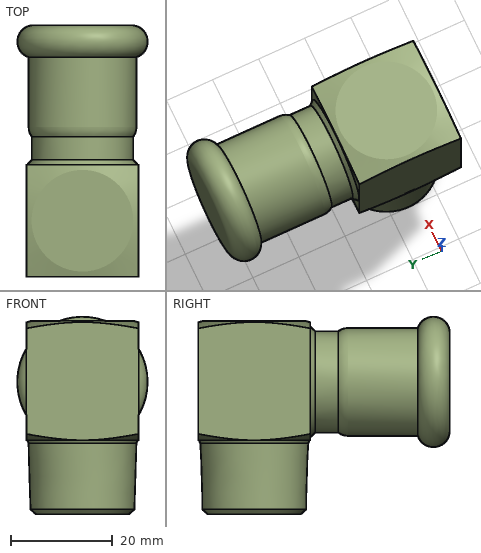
import cadquery as cq
import math


block_side = 22.1
block_top = 12.05
block_bottom = -11.5
top_flat_diameter = 20.0
bottom_flat_diameter = 21.8
corner_slope = math.tan(math.radians(15))

tail_end = -26.05
tail_top_diameter = 21.3
tail_tip_diameter = 20.5
tail_end_diameter = 18.3
tail_chamfer_height = 1.0
collar_height = 0.55

total_length = 49.5
neck_diameter = 20.0
neck_base_diameter = 21.8
neck_start = 12.0
shoulder_start = 16.55
sleeve_start = 18.4
sleeve_diameter = 21.3
bead_diameter = 25.7
bead_width = 6.5

half_side = block_side / 2
corner_radius = half_side * math.sqrt(2)
socket_end = total_length - half_side


def make_block():
    """Square block whose top and bottom corners are turned to shallow cones."""
    top_radius = top_flat_diameter / 2
    bottom_radius = bottom_flat_diameter / 2
    top_drop = (corner_radius - top_radius) * corner_slope
    bottom_rise = (corner_radius - bottom_radius) * corner_slope
    block = cq.Workplane("XY").workplane(offset=block_bottom).rect(block_side, block_side)
    block = block.extrude(block_top - block_bottom)
    envelope = (
        cq.Workplane("XZ")
        .moveTo(0, block_bottom)
        .lineTo(bottom_radius, block_bottom)
        .lineTo(corner_radius, block_bottom + bottom_rise)
        .lineTo(corner_radius, block_top - top_drop)
        .lineTo(top_radius, block_top)
        .lineTo(0, block_top)
        .close()
        .revolve(360, (0, 0), (0, 1))
    )
    return block.intersect(envelope)


def make_tail():
    """Solid tapered tail with a small collar above and a chamfered end below."""
    return (
        cq.Workplane("XZ")
        .moveTo(0, 0)
        .lineTo(bottom_flat_diameter / 2, 0)
        .lineTo(bottom_flat_diameter / 2, block_bottom)
        .lineTo(tail_top_diameter / 2, block_bottom - collar_height)
        .lineTo(tail_tip_diameter / 2, tail_end + tail_chamfer_height)
        .lineTo(tail_end_diameter / 2, tail_end)
        .lineTo(0, tail_end)
        .close()
        .revolve(360, (0, 0), (0, 1))
    )


def make_socket():
    """Neck, rounded shoulder, sleeve and round-edged bead revolved about Y."""
    neck_radius = neck_diameter / 2
    sleeve_radius = sleeve_diameter / 2
    bead_round = bead_width / 2
    bead_center_y = socket_end - bead_round
    bead_center_radius = bead_diameter / 2 - bead_round
    bead_start = bead_center_y - math.sqrt(bead_round**2 - (sleeve_radius - bead_center_radius) ** 2)
    shoulder_length = sleeve_start - shoulder_start
    shoulder_step = sleeve_radius - neck_radius
    shoulder_round = (shoulder_length**2 + shoulder_step**2) / (2 * shoulder_step)
    half_angle = math.asin(shoulder_length / shoulder_round) / 2
    shoulder_middle = (
        sleeve_radius - shoulder_round * (1 - math.cos(half_angle)),
        sleeve_start - shoulder_round * math.sin(half_angle),
    )
    return (
        cq.Workplane("XY")
        .moveTo(0, 0)
        .lineTo(neck_base_diameter / 2, 0)
        .lineTo(neck_base_diameter / 2, half_side)
        .lineTo(neck_radius, neck_start)
        .lineTo(neck_radius, shoulder_start)
        .threePointArc(shoulder_middle, (sleeve_radius, sleeve_start))
        .lineTo(sleeve_radius, bead_start)
        .threePointArc((bead_diameter / 2, bead_center_y), (bead_center_radius, socket_end))
        .lineTo(0, socket_end)
        .close()
        .revolve(360, (0, 0), (0, 1))
    )


result = make_block().union(make_tail()).union(make_socket())